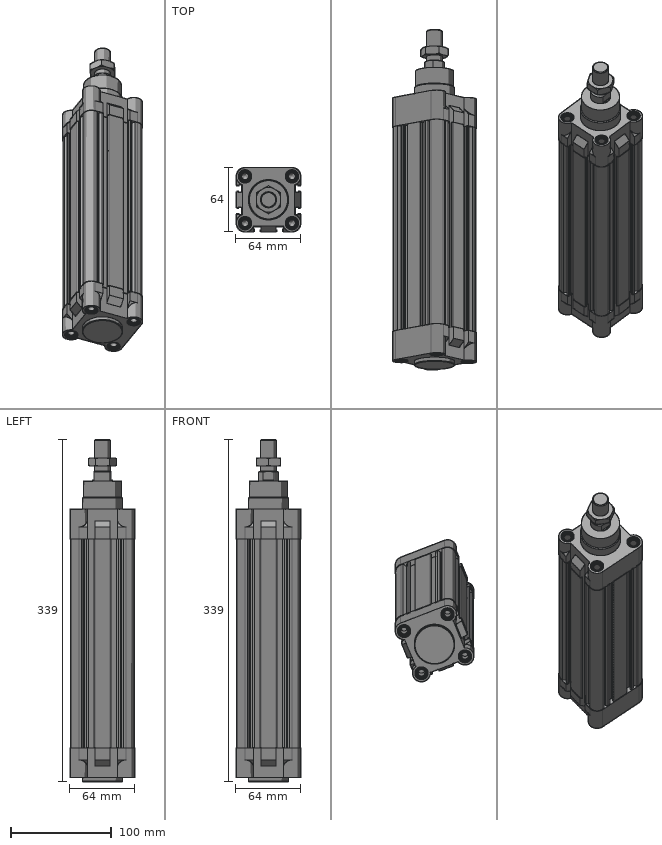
import cadquery as cq
import math


rod_top = 339.0
nut_bottom = 313.0
nut_height = 8.0
thread_start = 307.8
shoulder_z = 306.8
flats_bottom = 299.0
collar_top = 298.0
collar_step_z = 282.0
front_cap_z = 270.2
rear_cap_z = 4.0
cap_length = 29.5
barrel_bottom = rear_cap_z + cap_length
barrel_top = front_cap_z - cap_length

rod_diameter = 20.0
thread_diameter = 16.0
thread_chamfer = 0.85
wrench_width = 17.0

nut_across_flats = 24.0
nut_end_diameter = 24.7
nut_chamfer_angle = 30.0

collar_diameter = 40.0
neck_diameter = 38.0
rear_collar_chamfer = 0.7

cap_width = 64.0
core_width = 52.0
screw_spacing = 46.5
rib_width = 15.3
ramp_start = 17.5
cap_half = cap_width / 2
core_half = core_width / 2
screw_offset = screw_spacing / 2
rib_half = rib_width / 2
lug_radius = cap_half - screw_offset
ramp_rise = cap_half - core_half
lug_block_inner = screw_offset - math.sqrt(lug_radius**2 - (core_half - screw_offset) ** 2)

recess_diameter = 12.0
recess_rim = 13.2
recess_depth = 1.0
screw_hole_diameter = 6.8
socket_diameter = 10.0
socket_depth = 0.5
screw_hole_rim = 8.0
screw_hole_depth = 13.5
drill_half_angle = 59.0

barrel_half = 31.5
barrel_corner = barrel_half - screw_offset
rib_round = 1.0
slot_width = 5.0
channel_inner = rib_half + rib_round
channel_outer = channel_inner + slot_width
channel_depth = 4.7
channel_undercut = 1.0
rib_lip = 1.7
corner_lip = 2.5
groove_centre = 18.3
groove_half = slot_width / 2
groove_floor_half = 0.5
groove_depth = 3.5
groove_chamfer = 1.7


def box_between(x_range, y_range, z_range):
    """A box given by its two limits along each axis."""
    sizes = [high - low for low, high in (x_range, y_range, z_range)]
    corner = (x_range[0], y_range[0], z_range[0])
    return cq.Workplane("XY").box(*sizes, centered=False).translate(corner)


def at_each_screw(shape):
    """Copies of a shape at the four screw positions."""
    positions = [(sx * screw_offset, sy * screw_offset) for sx in (-1, 1) for sy in (-1, 1)]
    return [shape.translate((x, y, 0)) for x, y in positions]


def revolved(profile):
    """A turned shape from (radius, z) points."""
    return cq.Workplane("XZ").polyline(profile).close().revolve(360, (0, 0, 0), (0, 1, 0))



def channel_profile():
    """T-shaped channel beside the middle rib, drawn on the -Y face."""
    face = -barrel_half
    floor = face + channel_depth
    bend = rib_round * math.sqrt(0.5)
    return (
        cq.Workplane("XY")
        .moveTo(rib_half, face)
        .threePointArc(
            (rib_half + bend, face + rib_round - bend),
            (channel_inner, face + rib_round),
        )
        .lineTo(channel_inner, face + rib_lip)
        .lineTo(channel_inner - channel_undercut, face + rib_lip)
        .lineTo(channel_inner - channel_undercut, floor)
        .lineTo(channel_outer + channel_undercut, floor)
        .lineTo(channel_outer + channel_undercut, face + corner_lip)
        .lineTo(channel_outer, face + corner_lip)
        .lineTo(channel_outer, face)
        .close()
    )


def groove_profile():
    """V-like groove near the corner: a steep outer wall and a chamfered inner wall."""
    face = -barrel_half
    inner_wall = groove_centre - groove_floor_half
    return cq.Workplane("XY").polyline([
        (groove_centre + groove_half, face),
        (groove_centre + groove_floor_half, face + groove_depth),
        (inner_wall, face + groove_depth),
        (inner_wall, face + groove_chamfer),
        (groove_centre - groove_half, face),
    ]).close()


def make_barrel():
    """Rounded square bar with a channel and a groove either side of each middle rib."""
    length = barrel_top - barrel_bottom
    barrel = cq.Workplane("XY").rect(2 * barrel_half, 2 * barrel_half).extrude(length)
    barrel = barrel.edges("|Z").fillet(barrel_corner)
    for profile in (channel_profile(), groove_profile()):
        slot = profile.extrude(length)
        for cutter in (slot, slot.mirror("YZ")):
            for side in range(4):
                barrel = barrel.cut(cutter.rotate((0, 0, 0), (0, 0, 1), 90 * side))
    return barrel.translate((0, 0, barrel_bottom))



def ramped_block(x_low, x_high):
    """Block on the -Y side, flush with the lugs, with a 45 degree ramp towards the cap's end."""
    ramp_z = front_cap_z - ramp_start
    profile = [
        (-screw_offset, barrel_top),
        (-cap_half, barrel_top),
        (-cap_half, ramp_z),
        (-core_half, ramp_z + ramp_rise),
        (-screw_offset, ramp_z + ramp_rise),
    ]
    block = cq.Workplane("YZ").polyline(profile).close().extrude(x_high - x_low)
    return block.translate((x_low, 0, 0))


def screw_hole():
    """Chamfered recess and shallow socket over a chamfered blind hole with a drill point."""
    recess_floor = front_cap_z - recess_depth
    rim_chamfer = (recess_rim - recess_diameter) / 2
    socket_floor = recess_floor - socket_depth
    hole_radius = screw_hole_diameter / 2
    hole_chamfer = (screw_hole_rim - screw_hole_diameter) / 2
    hole_bottom = front_cap_z - screw_hole_depth
    point_depth = hole_radius / math.tan(math.radians(drill_half_angle))
    return revolved([
        (0, front_cap_z),
        (recess_rim / 2, front_cap_z),
        (recess_diameter / 2, front_cap_z - rim_chamfer),
        (recess_diameter / 2, recess_floor),
        (socket_diameter / 2, recess_floor),
        (socket_diameter / 2, socket_floor),
        (screw_hole_rim / 2, socket_floor),
        (hole_radius, socket_floor - hole_chamfer),
        (hole_radius, hole_bottom),
        (0, hole_bottom - point_depth),
    ])


def make_front_cap():
    """Core with four corner lugs, ramped blocks on three sides and a flat +Y side."""
    z_range = (barrel_top, front_cap_z)
    cap = box_between((-core_half, core_half), (-core_half, core_half), z_range)
    cap = cap.union(box_between((-screw_offset, screw_offset), (0, cap_half), z_range))
    lug = cq.Workplane("XY").workplane(offset=barrel_top).circle(lug_radius).extrude(cap_length)
    for corner_lug in at_each_screw(lug):
        cap = cap.union(corner_lug)
    block_spans = [
        (-screw_offset, -lug_block_inner),
        (-rib_half, rib_half),
        (lug_block_inner, screw_offset),
    ]
    for angle in (-90, 0, 90):
        for span in block_spans:
            cap = cap.union(ramped_block(*span).rotate((0, 0, 0), (0, 0, 1), angle))
    for hole in at_each_screw(screw_hole()):
        cap = cap.cut(hole)
    return cap


def make_rear_cap(front_cap):
    """The front cap turned over to the other end of the barrel."""
    return front_cap.mirror("XY").translate((0, 0, front_cap_z + rear_cap_z))



def make_front_collar():
    """Collar with a narrower neck above a bevelled step."""
    radius = collar_diameter / 2
    neck_radius = neck_diameter / 2
    return revolved([
        (0, front_cap_z),
        (radius, front_cap_z),
        (radius, collar_step_z - (radius - neck_radius)),
        (neck_radius, collar_step_z),
        (neck_radius, collar_top),
        (0, collar_top),
    ])


def make_rear_collar():
    """Short centring collar, chamfered at its free end."""
    collar = cq.Workplane("XY").circle(collar_diameter / 2).extrude(rear_cap_z)
    return collar.faces("<Z").edges().chamfer(rear_collar_chamfer)


def make_housing():
    """Barrel, end caps and collars in one solid, with a bore for the rod."""
    front_cap = make_front_cap()
    housing = make_barrel().union(front_cap).union(make_rear_cap(front_cap))
    housing = housing.union(make_front_collar()).union(make_rear_collar())
    bore_depth = collar_top - barrel_top
    bore = cq.Workplane("XY").workplane(offset=barrel_top).circle(rod_diameter / 2).extrude(bore_depth)
    return housing.cut(bore)



def make_rod():
    """Stepped rod with a conical shoulder, reaching through the front cap."""
    radius = rod_diameter / 2
    thread_radius = thread_diameter / 2
    rod = revolved([
        (0, barrel_top),
        (radius, barrel_top),
        (radius, shoulder_z),
        (thread_radius, thread_start),
        (thread_radius, rod_top - thread_chamfer),
        (thread_radius - thread_chamfer, rod_top),
        (0, rod_top),
    ])
    for y_range in ((-radius, -wrench_width / 2), (wrench_width / 2, radius)):
        rod = rod.cut(box_between((-radius, radius), y_range, (flats_bottom, thread_start)))
    return rod



def make_nut():
    """Hexagon nut with two corners on the Y axis, chamfered at both ends."""
    corner_radius = nut_across_flats / math.sqrt(3)
    end_radius = nut_end_diameter / 2
    chamfer_height = (corner_radius - end_radius) * math.tan(math.radians(nut_chamfer_angle))
    nut = cq.Workplane("XY").polygon(6, 2 * corner_radius).extrude(nut_height)
    nut = nut.rotate((0, 0, 0), (0, 0, 1), 90)
    envelope = revolved([
        (0, 0),
        (end_radius, 0),
        (corner_radius, chamfer_height),
        (corner_radius, nut_height - chamfer_height),
        (end_radius, nut_height),
        (0, nut_height),
    ])
    thread_hole = cq.Workplane("XY").circle(thread_diameter / 2).extrude(nut_height)
    return nut.intersect(envelope).cut(thread_hole).translate((0, 0, nut_bottom))


housing = make_housing()
rod = make_rod()
nut = make_nut()
result = cq.Compound.makeCompound([housing.val(), rod.val(), nut.val()])